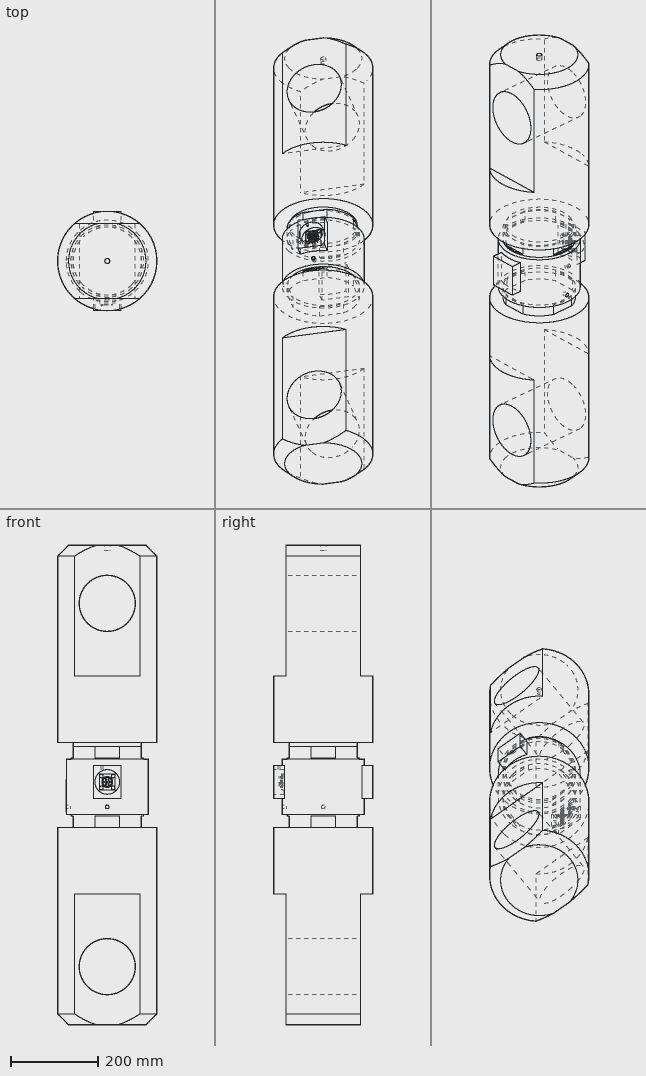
import cadquery as cq
import math

overall_length = 1099.18
body_diameter = 227.84
pad_span = 227.6
half_length = overall_length / 2
body_radius = body_diameter / 2

end_chamfer = 25.4
eye_thickness = 171.45
eye_flat_start = 250.0
body_shoulder = 97.0
pin_diameter = 128.0
pin_height = 416.0
centre_hole_diameter = 11.61
centre_hole_depth = 12.0

neck_across_flats = 156.0
flat_width = 57.0
neck_diameter = math.hypot(neck_across_flats, flat_width)
upper_flat_bottom = 62.0
upper_flat_top = 88.0
lower_flat_top = -71.0

collar_diameter = 188.0
collar_top = 59.0
collar_bottom = -68.0
plug_hole_diameter = 8.33
plug_hole_depth = 10.0
plug_hole_height = -50.0

pad_width = 63.5
pad_height = 76.2
pad_centre_height = 7.0
recess_diameter = 56.5
recess_depth = 24.0
set_screw_diameter = 4.17
set_screw_depth = 10.0
set_screw_x = -12.0
set_screw_y = -101.0

flange_size = 36.5
flange_thickness = 3.0
shell_diameter = 25.0
shell_length = 8.0
socket_diameter = 20.0
screw_spacing = 27.0
screw_head_diameter = 8.33
screw_head_height = 3.0
contact_diameter = 2.85
contact_length = 6.0
contact_count = 6
contact_circle_radius = 6.0


def z_cylinder(diameter, bottom, top):
    return cq.Workplane("XY").workplane(offset=bottom).circle(diameter / 2).extrude(top - bottom)


def front_plane(depth, height):
    """Sketch plane facing -Y, lying `depth` behind the front pad face, centred at `height`."""
    return cq.Workplane("XZ", origin=(0, depth - pad_span / 2, height))


def upper_eye_end():
    end = z_cylinder(body_diameter, body_shoulder, half_length).faces(">Z").chamfer(end_chamfer)
    flat_length = half_length - eye_flat_start
    flat_depth = body_radius - eye_thickness / 2
    for side in (1, -1):
        cutter = cq.Workplane("XY").box(body_diameter, flat_depth, flat_length).translate(
            (0, side * (eye_thickness + flat_depth) / 2, eye_flat_start + flat_length / 2)
        )
        end = end.cut(cutter)
    pin_hole = (
        cq.Workplane("XZ", origin=(0, 0, pin_height))
        .circle(pin_diameter / 2)
        .extrude(body_radius, both=True)
    )
    return end.cut(pin_hole)


def centre_hole():
    return z_cylinder(centre_hole_diameter, half_length - centre_hole_depth, half_length)


def flatted_ring(bottom, top):
    ring = z_cylinder(neck_diameter, bottom, top)
    block = cq.Workplane("XY").box(neck_across_flats, neck_across_flats, top - bottom)
    return ring.intersect(block.translate((0, 0, (bottom + top) / 2)))


def neck():
    plain_core = z_cylinder(neck_across_flats, -body_shoulder, body_shoulder)
    round_base = z_cylinder(neck_diameter, lower_flat_top, upper_flat_bottom)
    upper_ring = flatted_ring(upper_flat_bottom, upper_flat_top)
    lower_ring = flatted_ring(-body_shoulder, lower_flat_top)
    return plain_core.union(round_base).union(upper_ring).union(lower_ring)


def collar():
    ring = z_cylinder(collar_diameter, collar_bottom, collar_top)
    pads = cq.Workplane("XY").box(pad_width, pad_span, pad_height)
    return ring.union(pads.translate((0, 0, pad_centre_height)))


def plug_hole(plane):
    """Blind radial hole in the collar, on the side that the plane faces."""
    return (
        cq.Workplane(plane, origin=(0, 0, plug_hole_height))
        .workplane(offset=collar_diameter / 2 - plug_hole_depth)
        .circle(plug_hole_diameter / 2)
        .extrude(plug_hole_depth)
    )


def connector_recess():
    return front_plane(recess_depth, pad_centre_height).circle(recess_diameter / 2).extrude(recess_depth)


def set_screw_hole():
    """Small blind hole in the top of the front pad."""
    pad_top = pad_centre_height + pad_height / 2
    hole = z_cylinder(set_screw_diameter, pad_top - set_screw_depth, pad_top)
    return hole.translate((set_screw_x, set_screw_y, 0))


def connector():
    base = front_plane(recess_depth, pad_centre_height)
    flange = base.rect(flange_size, flange_size).extrude(flange_thickness)
    on_flange = front_plane(recess_depth - flange_thickness, pad_centre_height)
    shell = on_flange.circle(shell_diameter / 2).circle(socket_diameter / 2).extrude(shell_length)
    screws = (
        on_flange.rect(screw_spacing, screw_spacing, forConstruction=True)
        .vertices()
        .circle(screw_head_diameter / 2)
        .extrude(screw_head_height)
    )
    contacts = (
        on_flange.polarArray(contact_circle_radius, 0, 360, contact_count)
        .circle(contact_diameter / 2)
        .extrude(contact_length)
    )
    central_contact = on_flange.circle(contact_diameter / 2).extrude(contact_length)
    return flange.union(shell).union(screws).union(contacts).union(central_contact)


upper_end = upper_eye_end()
lower_end = upper_end.mirror("XY")
part = neck().union(collar()).union(upper_end).union(lower_end)
part = part.cut(centre_hole())
for facing in ("XZ", "ZY"):
    part = part.cut(plug_hole(facing))
result = part.cut(set_screw_hole()).cut(connector_recess()).union(connector())